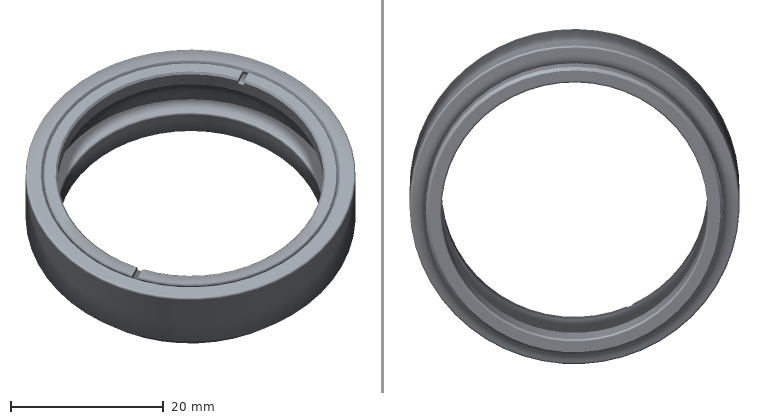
import cadquery as cq
import math

height_tolerance = 4.32e-07

total_height = 11.8
outer_radius = 21.6
clear_radius = 17.4

spigot_radius = 19.5
spigot_height = 2.2
spigot_chamfer = 0.4
neck_radius = 18.95
body_bottom_z = 3.02
edge_fillet = 0.28

thread_radius = 19.25
thread_depth = 7.25
thread_chamfer = 0.35
relief_radius = 19.87
shelf_depth = 8.1

ring_height = 2.25
ring_outer_chamfer = 0.17
ring_inner_chamfer = 0.25
slot_width = 0.8
slot_depth = 0.75
slot_angle = 112.5

shelf_z = total_height - shelf_depth
thread_bottom_z = total_height - thread_depth
ring_bottom_z = total_height - ring_height


def revolve_profile(points):
    """Revolve a closed (radius, height) outline about the Z axis."""
    return cq.Workplane("XZ").polyline(points).close().revolve(360, (0, 0), (0, 1))


def is_rim(edge, radius, z):
    """True if a circular edge has the given radius and height."""
    same_radius = math.isclose(edge.radius(), radius)
    same_height = math.isclose(edge.Center().z, z, abs_tol=height_tolerance)
    return same_radius and same_height


def make_housing():
    """Housing with a spigot, a threaded bore, a relief groove and a shelf."""
    outside = [
        (clear_radius, 0),
        (spigot_radius - spigot_chamfer, 0),
        (spigot_radius, spigot_chamfer),
        (spigot_radius, spigot_height),
        (neck_radius, spigot_height),
        (neck_radius, body_bottom_z),
        (outer_radius, body_bottom_z),
        (outer_radius, total_height),
    ]
    bore = [
        (thread_radius + thread_chamfer, total_height),
        (thread_radius, total_height - thread_chamfer),
        (thread_radius, thread_bottom_z),
        (relief_radius, thread_bottom_z),
        (relief_radius, shelf_z),
        (clear_radius, shelf_z),
    ]
    rounded_rims = [
        (outer_radius, total_height),
        (outer_radius, body_bottom_z),
        (clear_radius, shelf_z),
        (clear_radius, 0),
    ]
    housing = revolve_profile(outside + bore)
    rim_edges = [
        edge
        for edge in housing.edges("%CIRCLE").vals()
        if any(is_rim(edge, radius, z) for radius, z in rounded_rims)
    ]
    return housing.newObject(rim_edges).fillet(edge_fillet)


def make_retaining_ring():
    """Threaded ring with two opposite spanner slots in its top face."""
    ring = revolve_profile([
        (clear_radius, ring_bottom_z),
        (thread_radius, ring_bottom_z),
        (thread_radius, total_height - ring_outer_chamfer),
        (thread_radius - ring_outer_chamfer, total_height),
        (clear_radius + ring_inner_chamfer, total_height),
        (clear_radius, total_height - ring_inner_chamfer),
    ])
    slot_bar = (
        cq.Workplane("XY", origin=(0, 0, total_height - slot_depth))
        .transformed(rotate=(0, 0, slot_angle))
        .rect(2 * outer_radius, slot_width)
        .extrude(slot_depth)
    )
    return ring.cut(slot_bar)


housing = make_housing()
retaining_ring = make_retaining_ring()

result = cq.Compound.makeCompound([housing.val(), retaining_ring.val()])